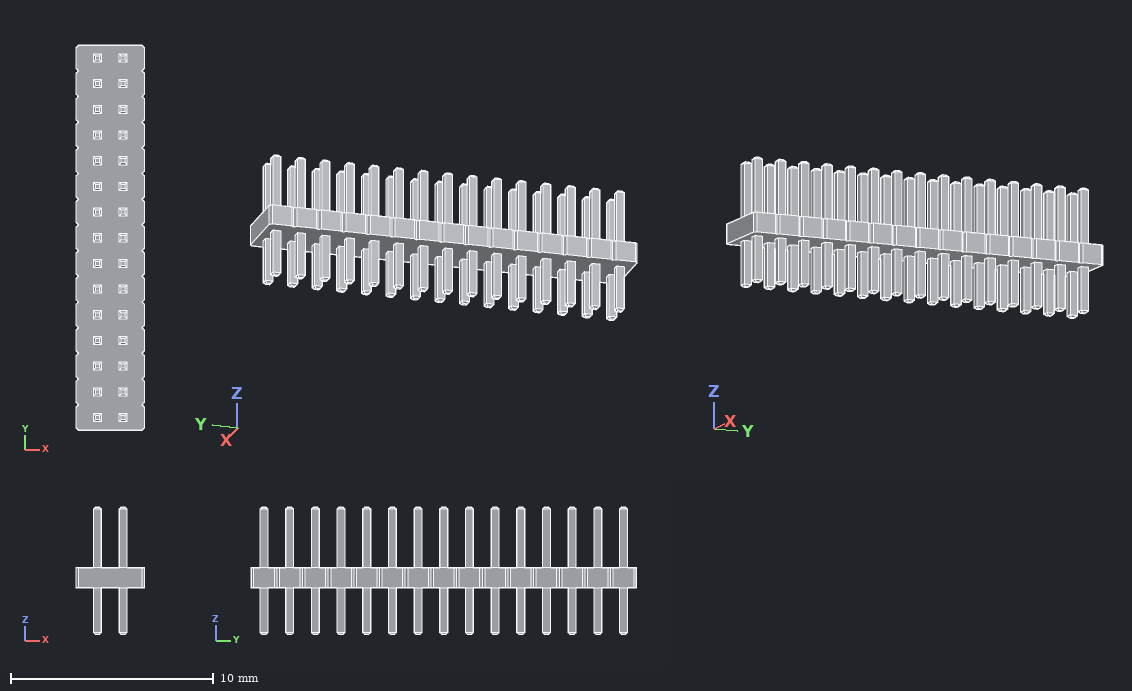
import cadquery as cq

PITCH = 1.27
ROWS = 15
COLUMNS = 2

BODY_WIDTH = 3.4
BODY_HEIGHT = 1.0
CELL_CHAMFER = PITCH / 10

PIN_SIZE = 0.4
PIN_ABOVE_BODY = 3.0
PIN_BELOW_BODY = 2.3
TIP_CHAMFER = 0.1

BODY_LENGTH = ROWS * PITCH
PIN_LENGTH = PIN_BELOW_BODY + BODY_HEIGHT + PIN_ABOVE_BODY


def side_points():
    """Points along the +X side, from -Y to +Y: each row is a cell with chamfered corners."""
    flat_x = BODY_WIDTH / 2
    notch_x = flat_x - CELL_CHAMFER
    points = []
    for row in range(ROWS):
        cell_start = -BODY_LENGTH / 2 + row * PITCH
        points.append((notch_x, cell_start))
        points.append((flat_x, cell_start + CELL_CHAMFER))
        points.append((flat_x, cell_start + PITCH - CELL_CHAMFER))
    points.append((notch_x, BODY_LENGTH / 2))
    return points


def make_body():
    """Block with a V notch on both long sides between neighbouring rows."""
    right_side = side_points()
    left_side = [(-x, y) for x, y in reversed(right_side)]
    return cq.Workplane("XY").polyline(right_side + left_side).close().extrude(BODY_HEIGHT)


def make_pin():
    """Square pin running through the body, tapered at both ends."""
    pin_bottom = cq.Workplane("XY").workplane(offset=-PIN_BELOW_BODY)
    pin = pin_bottom.rect(PIN_SIZE, PIN_SIZE).extrude(PIN_LENGTH)
    return pin.faces("<Z or >Z").chamfer(TIP_CHAMFER)


def make_header():
    """Body with one pin at every grid position."""
    header = make_body()
    pin = make_pin()
    for column in range(COLUMNS):
        x = (column - (COLUMNS - 1) / 2) * PITCH
        for row in range(ROWS):
            y = (row - (ROWS - 1) / 2) * PITCH
            header = header.union(pin.translate((x, y, 0)))
    return header


result = make_header()